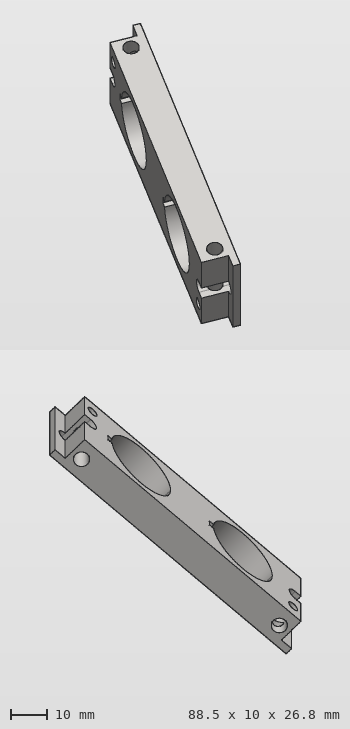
import cadquery as cq

length = 88.5
depth = 10.0
height = 26.8
flange_thickness = 2.2
flange_overhang = 3.8
body_length = length - 2 * flange_overhang

bore_diameter = 21.95
bore_spacing = 38.05
bore_pair_offset = -0.3
key_width = 2.3
key_reach = 12.5

slot_length = 6.6
slot_width = 4.4
slot_offset = 39.4

pin_diameter = 3.3
pin_x = 37.5
pin_z = 8.05

cross_diameter = 4.4
cross_spacing = 74.0
cross_y = 5.0

EXTRA = 0.9


def through_depth(sketch):
    """Extrude an XZ sketch into a cutter that passes through the whole depth."""
    return sketch.extrude(depth + 2 * EXTRA)


def front_plane():
    """XZ plane behind the back face, with its normal toward the front (-Y)."""
    return cq.Workplane("XZ", origin=(0, depth + EXTRA, 0))


def make_plate():
    body = cq.Workplane("XY").box(body_length, depth, height, centered=(True, False, True))
    flange = (
        cq.Workplane("XY", origin=(0, depth - flange_thickness, 0))
        .box(length, flange_thickness, height, centered=(True, False, True))
    )
    return body.union(flange)


def keyed_bore(x):
    bore = through_depth(front_plane().center(x, 0).circle(bore_diameter / 2))
    key = through_depth(front_plane().center(x - key_reach / 2, 0).rect(key_reach, key_width))
    return bore.union(key)


def cross_hole(x):
    return (
        cq.Workplane("XY", origin=(x, cross_y, -height / 2 - EXTRA))
        .circle(cross_diameter / 2)
        .extrude(height + 2 * EXTRA)
    )


result = make_plate()
for side in (-1, 1):
    slot = front_plane().center(side * slot_offset, 0).slot2D(slot_length, slot_width)
    pin_hole = front_plane().center(side * pin_x, -side * pin_z).circle(pin_diameter / 2)
    result = (
        result.cut(keyed_bore(bore_pair_offset + side * bore_spacing / 2))
        .cut(through_depth(slot))
        .cut(through_depth(pin_hole))
        .cut(cross_hole(side * cross_spacing / 2))
    )